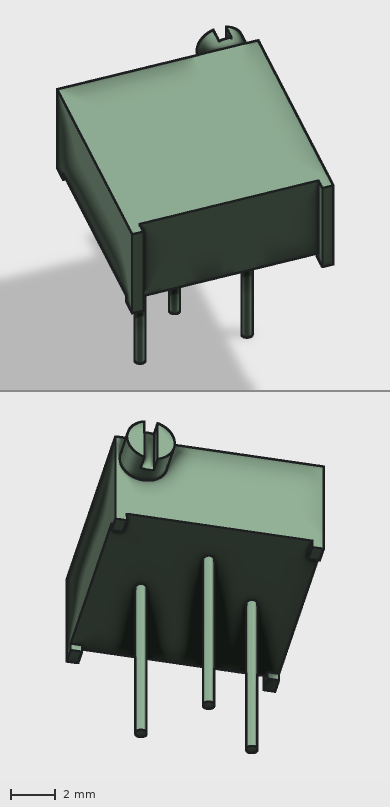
import cadquery as cq

body_length = 10.03
body_width = 9.54
body_height = 4.47

foot_length = 0.81
foot_width = 0.52
foot_height = 0.38

recess_depth = 0.52
ear_width = 0.52

screw_diameter = 2.18
screw_length = 1.53
screw_y = 3.48
screw_z = -1.27
slot_width = 0.6
slot_depth = 0.77

pin_diameter = 0.51
pin_pitch = 2.54
pin_tip_z = -13.08
middle_pin_x = 2.25
outer_pin_x = middle_pin_x + pin_pitch
pin_positions = [(outer_pin_x, -pin_pitch), (middle_pin_x, 0), (outer_pin_x, pin_pitch)]


def make_housing():
    """Box on four corner feet, with the recess cut through the +X face."""
    total_height = body_height + foot_height
    housing = cq.Workplane("XY").box(
        body_length, body_width, total_height, centered=(False, True, False)
    ).translate((0, 0, -total_height))

    channel_along_x = cq.Workplane("XY").box(
        body_length, body_width - 2 * foot_width, foot_height, centered=(False, True, False)
    ).translate((0, 0, -total_height))
    channel_along_y = cq.Workplane("XY").box(
        body_length - 2 * foot_length, body_width, foot_height, centered=(False, True, False)
    ).translate((foot_length, 0, -total_height))

    recess = cq.Workplane("XY").box(
        recess_depth, body_width - 2 * ear_width, total_height, centered=(False, True, False)
    ).translate((body_length - recess_depth, 0, -total_height))
    return housing.cut(channel_along_x).cut(channel_along_y).cut(recess)


def make_screw():
    """Cylinder projecting towards -X with a vertical driver slot in its end."""
    screw = cq.Workplane("YZ").center(screw_y, screw_z).circle(screw_diameter / 2).extrude(-screw_length)
    slot = cq.Workplane("XY").box(
        slot_depth, slot_width, screw_diameter, centered=(False, True, True)
    ).translate((-screw_length, screw_y, screw_z))
    return screw.cut(slot)


def make_pins():
    """Round terminals hanging from the underside of the box."""
    pins = cq.Workplane("XY", origin=(0, 0, -body_height)).pushPoints(pin_positions)
    return pins.circle(pin_diameter / 2).extrude(pin_tip_z + body_height)


result = make_housing().union(make_screw()).union(make_pins())